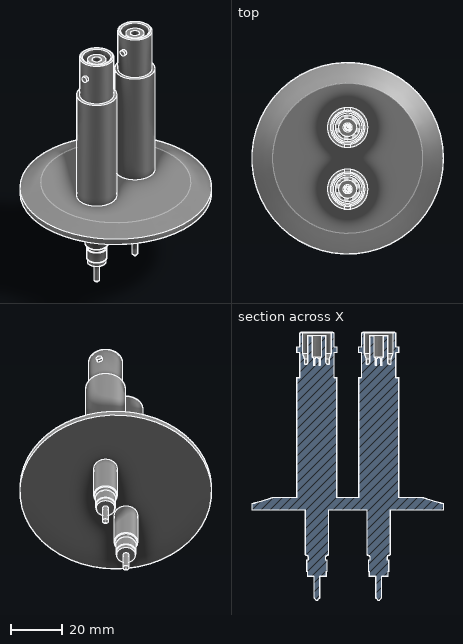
import cadquery as cq

top_z = 105.0
flange_bottom_z = 35.4
flange_thickness = 4.9
flange_rim_height = 2.5
flange_top_z = flange_bottom_z + flange_thickness
sleeve_top_z = 87.1

flange_diameter = 74.9
flange_face_diameter = 58.7

connector_pitch = 24.1

sleeve_radius = 7.9
barrel_radius = 6.7
ridge_radius = 6.2
bevel_height = 0.4

mouth_radius = 5.6
bore_radius = 4.8
bore_depth = 12.6
bore_taper_height = 2.1
insulator_radius = 3.6
insulator_recess = 1.5
insulator_root_fillet = 0.8
insulator_hole_radius = 1.8
insulator_hole_depth = 8.4
contact_gap_radius = 1.3
contact_gap_depth = 3.1
contact_radius = 0.8
contact_tip_radius = 0.3
contact_tip_height = 0.5

lug_diameter = 2.3
lug_z = 98.0

stem_radius = 4.6
stem_bottom_z = 17.6
stem_bevel = 0.3
neck_radius = 3.5
neck_fillet = 0.6
nut_radius = 4.0
nut_top_z = 16.0
nut_bottom_z = 11.3
collar_radius = 3.7
collar_bottom_z = 9.4
pin_radius = 1.2
pin_tip_height = 1.0
pin_tip_radius = 0.2


def turned(points):
    """Revolve a closed (radius, z) outline about the Z axis."""
    return cq.Workplane("XZ").polyline(points).close().revolve(360, (0, 0), (0, 1))


def flange():
    outer = flange_diameter / 2
    return turned([
        (0, flange_bottom_z),
        (outer, flange_bottom_z),
        (outer, flange_bottom_z + flange_rim_height),
        (flange_face_diameter / 2, flange_top_z),
        (0, flange_top_z),
    ])


def upper_body():
    """Sleeve and barrel, with the barrel rim bevelled on the outside up to its ridge."""
    return turned([
        (0, flange_top_z),
        (sleeve_radius, flange_top_z),
        (sleeve_radius, sleeve_top_z),
        (barrel_radius, sleeve_top_z),
        (barrel_radius, top_z - bevel_height),
        (ridge_radius, top_z),
        (0, top_z),
    ])


def lugs():
    return (
        cq.Workplane("XZ")
        .center(0, lug_z)
        .circle(lug_diameter / 2)
        .extrude(sleeve_radius, both=True)
    )


def socket():
    """Space removed from the barrel, leaving the insulator and the contact inside it."""
    floor_z = top_z - bore_depth
    taper_bottom_z = floor_z + bore_taper_height
    insulator_top_z = top_z - insulator_recess
    ring_space = (
        cq.Workplane("XZ")
        .moveTo(0, top_z)
        .lineTo(ridge_radius, top_z)
        .lineTo(mouth_radius, top_z - bevel_height)
        .lineTo(mouth_radius, taper_bottom_z + bore_taper_height)
        .lineTo(bore_radius, taper_bottom_z)
        .lineTo(bore_radius, floor_z)
        .lineTo(insulator_radius + insulator_root_fillet, floor_z)
        .radiusArc((insulator_radius, floor_z + insulator_root_fillet), insulator_root_fillet)
        .lineTo(insulator_radius, insulator_top_z)
        .lineTo(0, insulator_top_z)
        .close()
        .revolve(360, (0, 0), (0, 1))
    )

    hole_floor_z = insulator_top_z - insulator_hole_depth
    contact_space = turned([
        (0, insulator_top_z),
        (insulator_hole_radius, insulator_top_z),
        (insulator_hole_radius, hole_floor_z),
        (contact_gap_radius, hole_floor_z),
        (contact_gap_radius, hole_floor_z - contact_gap_depth),
        (contact_radius, hole_floor_z - contact_gap_depth),
        (contact_radius, hole_floor_z - contact_tip_height),
        (contact_tip_radius, hole_floor_z),
        (0, hole_floor_z),
    ])
    return ring_space.union(contact_space)


def lower_body():
    """Stem, filleted neck, nut, collar and pointed pin below the flange."""
    return (
        cq.Workplane("XZ")
        .moveTo(0, flange_bottom_z)
        .lineTo(stem_radius, flange_bottom_z)
        .lineTo(stem_radius, stem_bottom_z + stem_bevel)
        .lineTo(stem_radius - stem_bevel, stem_bottom_z)
        .lineTo(neck_radius + neck_fillet, stem_bottom_z)
        .radiusArc((neck_radius, stem_bottom_z - neck_fillet), -neck_fillet)
        .lineTo(neck_radius, nut_top_z)
        .lineTo(nut_radius, nut_top_z)
        .lineTo(nut_radius, nut_bottom_z)
        .lineTo(collar_radius, nut_bottom_z)
        .lineTo(collar_radius, collar_bottom_z)
        .lineTo(pin_radius, collar_bottom_z)
        .lineTo(pin_radius, pin_tip_height)
        .lineTo(pin_tip_radius, 0)
        .lineTo(0, 0)
        .close()
        .revolve(360, (0, 0), (0, 1))
    )


connector = upper_body().union(lugs()).cut(socket()).union(lower_body())

result = flange()
for side in (-1, 1):
    result = result.union(connector.translate((0, side * connector_pitch / 2, 0)))